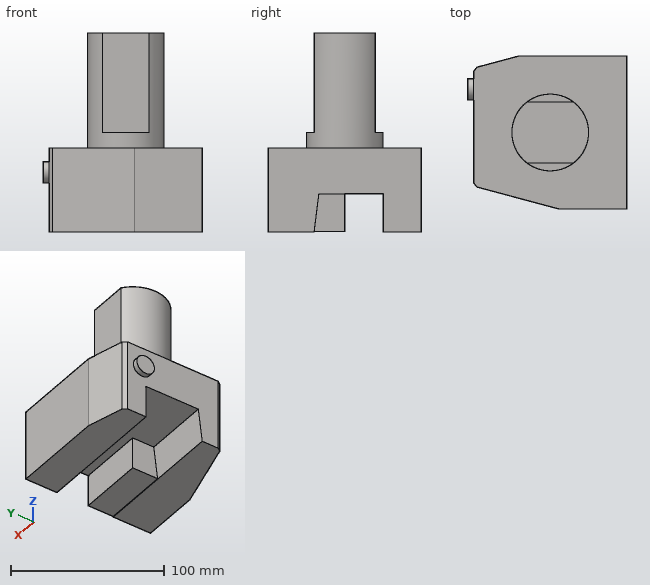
import cadquery as cq
import math

block_side = 100.0
block_height = 55.0
taper_angle = 15.0
rear_taper_length = 29.6
front_taper_length = 55.8
corner_chamfer = 2.2

total_height = 130.0
shank_diameter = 50.0
collar_height = 10.0
flat_spacing = 40.0

slot_height = 25.0
slot_upright_y = shank_diameter / 2
slot_roof_y = -16.9
slot_mouth_y = -20.0

boss_diameter = 14.0
boss_length = 3.9
boss_y = 28.1
boss_drop = 16.0

wedge_length = block_side / 2
wedge_inner_y = 0.0
wedge_bottom_gap = 0.4

half_side = block_side / 2


def make_block():
    slope = math.tan(math.radians(taper_angle))
    outline = [
        (block_side, -half_side),
        (block_side, half_side),
        (rear_taper_length, half_side),
        (0, half_side - rear_taper_length * slope),
        (0, -half_side + front_taper_length * slope),
        (front_taper_length, -half_side),
    ]
    block = cq.Workplane("XY").polyline(outline).close().extrude(block_height)
    return block.edges("|Z and <X").chamfer(corner_chamfer)


def make_shank():
    shank_height = total_height - block_height
    shank = cq.Workplane("XY").circle(shank_diameter / 2).extrude(shank_height)
    collar = cq.Workplane("XY").circle(shank_diameter / 2).extrude(collar_height)
    between_flats = cq.Workplane("XY").box(
        shank_diameter, flat_spacing, shank_height, centered=(True, True, False)
    )
    shank = shank.intersect(between_flats).union(collar)
    return shank.translate((half_side, 0, block_height))


def make_slot():
    profile = [
        (slot_upright_y, 0),
        (slot_upright_y, slot_height),
        (slot_roof_y, slot_height),
        (slot_mouth_y, 0),
    ]
    return cq.Workplane("YZ").polyline(profile).close().extrude(block_side)


def make_boss():
    return (
        cq.Workplane("YZ", origin=(-boss_length, boss_y, block_height - boss_drop))
        .circle(boss_diameter / 2)
        .extrude(boss_length)
    )


def make_holder():
    return make_block().union(make_shank()).union(make_boss()).cut(make_slot())


def make_wedge():
    wall_run = (slot_roof_y - slot_mouth_y) / slot_height
    wedge_bottom_y = slot_mouth_y + wedge_bottom_gap * wall_run
    profile = [
        (wedge_inner_y, wedge_bottom_gap),
        (wedge_inner_y, slot_height),
        (slot_roof_y, slot_height),
        (wedge_bottom_y, wedge_bottom_gap),
    ]
    wedge = cq.Workplane("YZ").polyline(profile).close().extrude(wedge_length)
    return wedge.translate((block_side - wedge_length, 0, 0))


holder = make_holder()
wedge = make_wedge()

result = cq.Compound.makeCompound([holder.val(), wedge.val()])